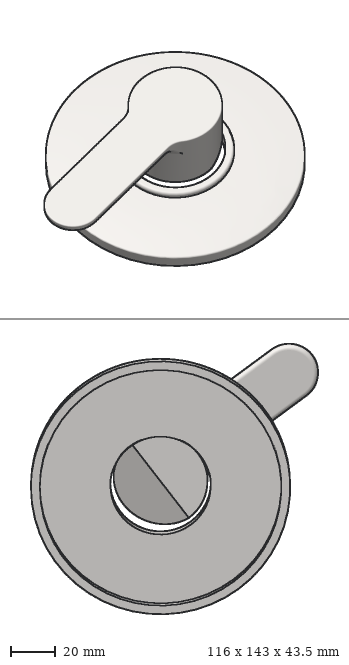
import cadquery as cq
import math

OVERALL_LENGTH = 143.0

PLATE_DIAMETER = 116.0
PLATE_RADIUS = PLATE_DIAMETER / 2
PLATE_RIM_HEIGHT = 6.0
PLATE_RIM_ROUND = 0.9
DOME_TOP = 9.0
COLLAR_RADIUS = 26.5
COLLAR_TOP = 11.5
COLLAR_ROUND = 1.5
HOLE_RADIUS = 22.5
RECESS_DEPTH = 4.7
RIM_WALL = COLLAR_RADIUS - HOLE_RADIUS

HUB_RADIUS = 21.0
HUB_BOTTOM = 13.3
HUB_TOP = 43.5
BEVEL_RISE = 10.2
TOP_ROUND = 0.6
CROWN_SAG = 0.3

LEVER_HALF_WIDTH = 13.0
LEVER_REACH = OVERALL_LENGTH - PLATE_RADIUS
LEVER_THICKNESS = 4.3
LEVER_BOTTOM = HUB_TOP - LEVER_THICKNESS
LEVER_EDGE_ROUND = 2.1
FLARE_RADIUS = 10.5
GUSSET_RADIUS = 5.0

BUTTON_RADIUS = 3.9
BUTTON_HEIGHT = 28.5
BUTTON_LIP = 0.3
BUTTON_CROWN = 1.9

SELECT_XY = 1.5
SELECT_Z = 0.1

Z_AXIS = ((0, 0, 0), (0, 1, 0))


def edges_at_height(half_width, y_min, y_max, z):
    """Selector for edges that lie flat at height z, within the X half width and the two Y limits."""
    return cq.selectors.BoxSelector(
        (-half_width, y_min, z - SELECT_Z), (half_width, y_max, z + SELECT_Z), boundingbox=True
    )


def make_plate():
    dome_run = PLATE_RADIUS - COLLAR_RADIUS
    dome_drop = DOME_TOP - PLATE_RIM_HEIGHT
    dome_radius = (dome_run**2 + dome_drop**2) / (2 * dome_drop)
    mid_run = dome_run / 2
    mid_height = DOME_TOP - dome_radius + math.sqrt(dome_radius**2 - mid_run**2)
    plate = (
        cq.Workplane("XZ")
        .moveTo(HOLE_RADIUS, RECESS_DEPTH)
        .lineTo(PLATE_RADIUS - RIM_WALL, RECESS_DEPTH)
        .lineTo(PLATE_RADIUS - RIM_WALL, 0)
        .lineTo(PLATE_RADIUS, 0)
        .lineTo(PLATE_RADIUS, PLATE_RIM_HEIGHT)
        .threePointArc((COLLAR_RADIUS + mid_run, mid_height), (COLLAR_RADIUS, DOME_TOP))
        .lineTo(COLLAR_RADIUS, COLLAR_TOP)
        .lineTo(HOLE_RADIUS, COLLAR_TOP)
        .close()
        .revolve(360, *Z_AXIS)
    )
    reach = PLATE_RADIUS + SELECT_XY
    plate = plate.edges(edges_at_height(reach, -reach, reach, PLATE_RIM_HEIGHT)).fillet(PLATE_RIM_ROUND)
    collar_edge = cq.selectors.RadiusNthSelector(-1)
    return plate.faces(">Z").edges(collar_edge).fillet(COLLAR_ROUND)


def make_hub():
    hub = cq.Workplane("XY", origin=(0, 0, HUB_BOTTOM)).circle(HUB_RADIUS).extrude(HUB_TOP - HUB_BOTTOM)
    bevel = (
        cq.Workplane("YZ")
        .moveTo(0, HUB_BOTTOM)
        .lineTo(HUB_RADIUS, HUB_BOTTOM + BEVEL_RISE)
        .lineTo(HUB_RADIUS, HUB_BOTTOM)
        .close()
        .extrude(HUB_RADIUS, both=True)
    )
    return hub.cut(bevel)


def make_lever(bottom):
    """Lever outline, flared tangentially out of the hub circle, from `bottom` up to the hub top."""
    flare_x = LEVER_HALF_WIDTH + FLARE_RADIUS
    centre_distance = HUB_RADIUS + FLARE_RADIUS
    flare_angle = math.acos(flare_x / centre_distance)
    flare_y = -centre_distance * math.sin(flare_angle)
    touch_x = HUB_RADIUS * math.cos(flare_angle)
    touch_y = -HUB_RADIUS * math.sin(flare_angle)
    mid_x = flare_x - FLARE_RADIUS * math.cos(flare_angle / 2)
    mid_y = flare_y + FLARE_RADIUS * math.sin(flare_angle / 2)
    tip_centre_y = LEVER_HALF_WIDTH - LEVER_REACH
    return (
        cq.Workplane("XY", origin=(0, 0, bottom))
        .moveTo(touch_x, touch_y)
        .threePointArc((mid_x, mid_y), (LEVER_HALF_WIDTH, flare_y))
        .lineTo(LEVER_HALF_WIDTH, tip_centre_y)
        .threePointArc((0, -LEVER_REACH), (-LEVER_HALF_WIDTH, tip_centre_y))
        .lineTo(-LEVER_HALF_WIDTH, flare_y)
        .threePointArc((-mid_x, mid_y), (-touch_x, touch_y))
        .threePointArc((0, HUB_RADIUS), (touch_x, touch_y))
        .close()
        .extrude(HUB_TOP - bottom)
    )


def make_gusset():
    """Concave ring around the hub under the lever, trimmed to the lever outline."""
    outer = HUB_RADIUS + GUSSET_RADIUS
    bottom = LEVER_BOTTOM - GUSSET_RADIUS
    diagonal = GUSSET_RADIUS * math.sqrt(0.5)
    ring = (
        cq.Workplane("XZ")
        .moveTo(0, bottom)
        .lineTo(HUB_RADIUS, bottom)
        .threePointArc((outer - diagonal, bottom + diagonal), (outer, LEVER_BOTTOM))
        .lineTo(0, LEVER_BOTTOM)
        .close()
        .revolve(360, *Z_AXIS)
    )
    return ring.intersect(make_lever(bottom))


def make_crown():
    """Full-length stock with an arched top that bounds the handle from above."""
    return (
        cq.Workplane("XZ", origin=(0, HUB_RADIUS, 0))
        .moveTo(-HUB_RADIUS, HUB_TOP - CROWN_SAG)
        .threePointArc((0, HUB_TOP), (HUB_RADIUS, HUB_TOP - CROWN_SAG))
        .lineTo(HUB_RADIUS, HUB_BOTTOM)
        .lineTo(-HUB_RADIUS, HUB_BOTTOM)
        .close()
        .extrude(HUB_RADIUS + LEVER_REACH)
    )


def make_button():
    """Round button with a spherical crown, pointing along -Y and rooted inside the hub."""
    root = HUB_RADIUS / 2
    lip = HUB_RADIUS + BUTTON_LIP
    crown_radius = (BUTTON_RADIUS**2 + BUTTON_CROWN**2) / (2 * BUTTON_CROWN)
    mid_radius = BUTTON_RADIUS / 2
    mid_rise = BUTTON_CROWN - crown_radius + math.sqrt(crown_radius**2 - mid_radius**2)
    button = (
        cq.Workplane("XY")
        .moveTo(0, -root)
        .lineTo(BUTTON_RADIUS, -root)
        .lineTo(BUTTON_RADIUS, -lip)
        .threePointArc((mid_radius, -lip - mid_rise), (0, -lip - BUTTON_CROWN))
        .close()
        .revolve(360, (0, 0, 0), (0, 1, 0))
    )
    return button.translate((0, 0, BUTTON_HEIGHT))


def make_handle():
    handle = make_hub().union(make_lever(LEVER_BOTTOM)).union(make_gusset()).intersect(make_crown())
    tip_limit = -LEVER_REACH - SELECT_XY
    hub_limit = -HUB_RADIUS - SELECT_XY
    gusset_limit = hub_limit - GUSSET_RADIUS
    lower_edges = edges_at_height(HUB_RADIUS, tip_limit, hub_limit, LEVER_BOTTOM)
    gusset_arc = edges_at_height(HUB_RADIUS, gusset_limit, hub_limit, LEVER_BOTTOM)
    handle = handle.edges(lower_edges - gusset_arc).fillet(LEVER_EDGE_ROUND)
    handle = handle.faces(">Z").edges().fillet(TOP_ROUND)
    return handle.union(make_button())


plate = make_plate()
handle = make_handle()

result = cq.Compound.makeCompound([plate.solids().val(), handle.solids().val()])